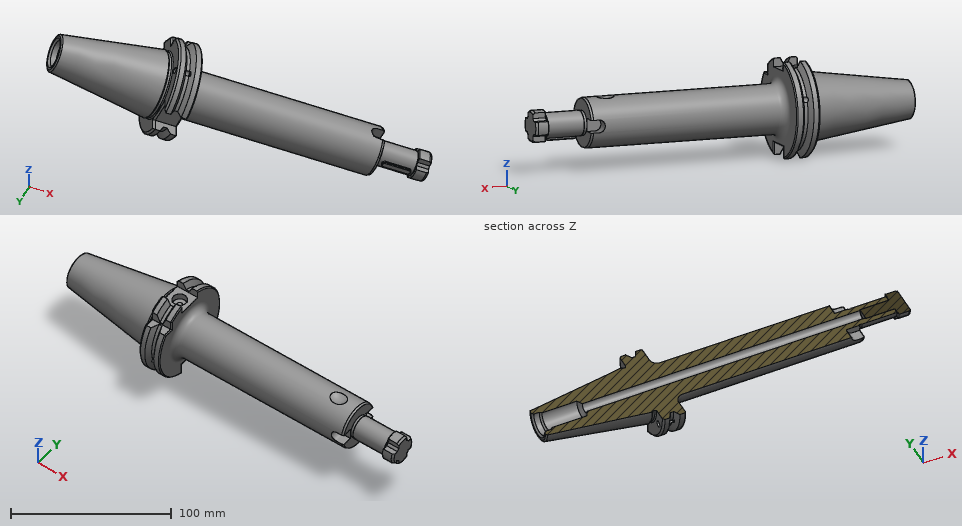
import cadquery as cq
import math


drill_tip_half_angle = math.radians(59)

total_length = 253.5

taper_length = 68.5
taper_large_radius = 22.3
taper_ratio = 7 / 24
taper_small_radius = taper_large_radius - taper_length * taper_ratio / 2
taper_end_chamfer_axial = 0.8
taper_end_chamfer_radial = 1.3
relief_radius = 21.5
relief_depth = taper_large_radius - relief_radius

flange_start = 71.5
flange_width = 16.0
flange_end = flange_start + flange_width
flange_radius = 31.7
flange_front_chamfer = 1.3
flange_back_chamfer = 0.8

groove_centre = 79.5
groove_root_radius = 27.5
groove_root_width = 2.3
groove_half_angle = math.radians(30)

drive_slot_width = 16.2
top_slot_floor = 25.0
bottom_slot_floor = 22.8
notch_offset = 19.0

carrier_hole_radius = 4.8
carrier_hole_depth = 4.5
carrier_tip_radius = 1.8
carrier_tip_depth = 1.0

coolant_hole_radius = 2.0
coolant_hole_depth = 10.1
coolant_hole_y = 24.8
coolant_hole_z = 9.0

body_end = 218.7
body_radius = 16.0
body_fillet = 5.0
body_chamfer_axial = 1.5
body_chamfer_radial = 0.5

dimple_x = 203.5
dimple_sphere_radius = 10.0
dimple_depth = 1.9

driver_slot_width = 8.0
driver_slot_length = 9.0
driver_slot_floor = 8.4

stub_end = 245.0
stub_radius = 8.0
stub_end_chamfer = 0.5
undercut_width = 1.8
undercut_radius = 7.9

bore_mouth_radius = 9.6
bore_counterbore_radius = 8.4
bore_counterbore_depth = 5.0
thread_core_radius = 7.0
thread_depth = 30.5
coolant_bore_radius = 3.5

key_start = 223.2
key_length = 19.8
key_width = 4.0
key_height = 4.0
key_top_radius = 9.5
key_chamfer = 0.5

head_radius = 10.1
head_core_radius = 7.0
head_lobe_width = 8.4
head_chamfer_axial = 1.5
head_chamfer_radial = 1.0
shank_radius = 4.0
shank_length = 20.3


def revolve_about_x(points):
    """Turn an outline of (x, radius) points about the X axis."""
    return cq.Workplane("XZ").polyline(points).close().revolve(360, (0, 0, 0), (1, 0, 0))


def rod(start, end, radius, y=0, z=0):
    """Cylinder parallel to the X axis."""
    return cq.Workplane("YZ", origin=(start, y, z)).circle(radius).extrude(end - start)


def make_taper():
    return revolve_about_x([
        (0, 0),
        (0, taper_small_radius - taper_end_chamfer_radial),
        (taper_end_chamfer_axial, taper_small_radius),
        (taper_length, taper_large_radius),
        (taper_length + relief_depth, relief_radius),
        (flange_start - relief_depth, relief_radius),
        (flange_start, taper_large_radius),
        (flange_start, 0),
    ])


def make_gripper_groove():
    root_half = groove_root_width / 2
    mouth_half = root_half + (flange_radius - groove_root_radius) * math.tan(groove_half_angle)
    clearance_radius = flange_radius + 2.5
    return revolve_about_x([
        (groove_centre - mouth_half, clearance_radius),
        (groove_centre - mouth_half, flange_radius),
        (groove_centre - root_half, groove_root_radius),
        (groove_centre + root_half, groove_root_radius),
        (groove_centre + mouth_half, flange_radius),
        (groove_centre + mouth_half, clearance_radius),
    ])


def make_flange_cutout(y_min, y_max, z_min, z_max):
    """Block that passes through the whole width of the flange."""
    return cq.Workplane("XY").box(
        flange_width, y_max - y_min, z_max - z_min, centered=False
    ).translate((flange_start, y_min, z_min))


def make_carrier_hole():
    hole_floor = top_slot_floor - carrier_hole_depth
    hole = (
        cq.Workplane("XY", origin=(groove_centre, 0, hole_floor))
        .circle(carrier_hole_radius).extrude(carrier_hole_depth)
    )
    tip = cq.Workplane(cq.Solid.makeCone(
        0, carrier_tip_radius, carrier_tip_depth,
        pnt=cq.Vector(groove_centre, 0, hole_floor - carrier_tip_depth),
    ))
    return hole.union(tip)


def make_coolant_hole(side):
    """Drilled hole with a pointed end, in the +Y, +Z (1) or -Y, -Z (-1) part of the flange."""
    tip_length = coolant_hole_radius / math.tan(drill_tip_half_angle)
    hole = revolve_about_x([
        (flange_start, 0),
        (flange_start, coolant_hole_radius),
        (flange_start + coolant_hole_depth, coolant_hole_radius),
        (flange_start + coolant_hole_depth + tip_length, 0),
    ])
    return hole.translate((0, side * coolant_hole_y, side * coolant_hole_z))


def make_flange():
    flange = rod(flange_start, flange_end, flange_radius)
    slot_half = drive_slot_width / 2
    flange = flange.cut(make_flange_cutout(-slot_half, slot_half, -flange_radius, -bottom_slot_floor))
    flange = flange.cut(make_flange_cutout(-flange_radius, -notch_offset, notch_offset, flange_radius))
    flange = flange.faces("<X").chamfer(flange_front_chamfer)
    flange = flange.faces(">X").chamfer(flange_back_chamfer)
    flange = flange.cut(make_flange_cutout(-slot_half, slot_half, top_slot_floor, flange_radius))
    flange = flange.cut(make_gripper_groove())
    for side in (1, -1):
        flange = flange.cut(make_coolant_hole(side))
    return flange.cut(make_carrier_hole())


def make_body():
    """Long body, blended into the back of the flange with a concave fillet."""
    fillet_end = flange_end + body_fillet
    return (
        cq.Workplane("XZ")
        .moveTo(flange_end, 0)
        .lineTo(flange_end, body_radius + body_fillet)
        .radiusArc((fillet_end, body_radius), -body_fillet)
        .lineTo(body_end - body_chamfer_axial, body_radius)
        .lineTo(body_end, body_radius - body_chamfer_radial)
        .lineTo(body_end, 0)
        .close()
        .revolve(360, (0, 0, 0), (1, 0, 0))
    )


def make_stub():
    undercut_end = body_end + undercut_width
    return revolve_about_x([
        (body_end, 0),
        (body_end, undercut_radius),
        (undercut_end, undercut_radius),
        (undercut_end, stub_radius),
        (stub_end - stub_end_chamfer, stub_radius),
        (stub_end, stub_radius - stub_end_chamfer),
        (stub_end, 0),
    ])


def make_dimple():
    sphere_height = body_radius - dimple_depth + dimple_sphere_radius
    return cq.Workplane("XY").sphere(dimple_sphere_radius).translate((dimple_x, 0, sphere_height))


def make_driver_slot(side):
    """Round-ended slot, open at the end of the body, on the +Y (1) or -Y (-1) side."""
    slot_radius = driver_slot_width / 2
    slot_start = body_end - driver_slot_length
    slot_depth = body_radius - driver_slot_floor
    slot = (
        cq.Workplane("XZ")
        .moveTo(body_end, slot_radius)
        .lineTo(slot_start + slot_radius, slot_radius)
        .threePointArc((slot_start, 0), (slot_start + slot_radius, -slot_radius))
        .lineTo(body_end, -slot_radius)
        .close()
        .extrude(slot_depth / 2, both=True)
    )
    return slot.translate((0, side * (driver_slot_floor + slot_depth / 2), 0))


def make_bore():
    thread_chamfer = bore_counterbore_radius - thread_core_radius
    mouth_depth = bore_mouth_radius - bore_counterbore_radius
    tip_length = (thread_core_radius - coolant_bore_radius) / math.tan(drill_tip_half_angle)
    bore_end = stub_end - shank_length
    return revolve_about_x([
        (0, 0),
        (0, bore_mouth_radius),
        (mouth_depth, bore_counterbore_radius),
        (bore_counterbore_depth, bore_counterbore_radius),
        (bore_counterbore_depth + thread_chamfer, thread_core_radius),
        (thread_depth, thread_core_radius),
        (thread_depth + tip_length, coolant_bore_radius),
        (bore_end, coolant_bore_radius),
        (bore_end, 0),
    ])


def make_screw_shank():
    return rod(stub_end - shank_length, stub_end, shank_radius)


def make_key():
    key_centre = key_start + key_length / 2
    return (
        cq.Workplane("XY", origin=(key_centre, 0, -key_top_radius))
        .slot2D(key_length, key_width)
        .extrude(key_height)
        .faces("<Z").chamfer(key_chamfer)
    )


def make_holder():
    holder = make_taper().union(make_flange()).union(make_body()).union(make_stub())
    holder = holder.cut(make_dimple())
    for side in (1, -1):
        holder = holder.cut(make_driver_slot(side))
    return holder.cut(make_bore()).cut(make_screw_shank()).cut(make_key())


def make_screw():
    """Screw whose head carries four parallel-sided lobes around a round core."""
    head_envelope = revolve_about_x([
        (stub_end, 0),
        (stub_end, head_radius),
        (total_length - head_chamfer_axial, head_radius),
        (total_length, head_radius - head_chamfer_radial),
        (total_length, 0),
    ])
    head = rod(stub_end, total_length, head_core_radius)
    head_length = total_length - stub_end
    for angle in (0, 90):
        lobes = (
            cq.Workplane("YZ", origin=(stub_end, 0, 0))
            .rect(2 * head_radius, head_lobe_width)
            .extrude(head_length)
            .rotate((0, 0, 0), (1, 0, 0), angle)
        )
        head = head.union(lobes.intersect(head_envelope))
    return head.union(make_screw_shank())


holder = make_holder()
key = make_key()
screw = make_screw()

result = cq.Compound.makeCompound([holder.val(), key.val(), screw.val()])